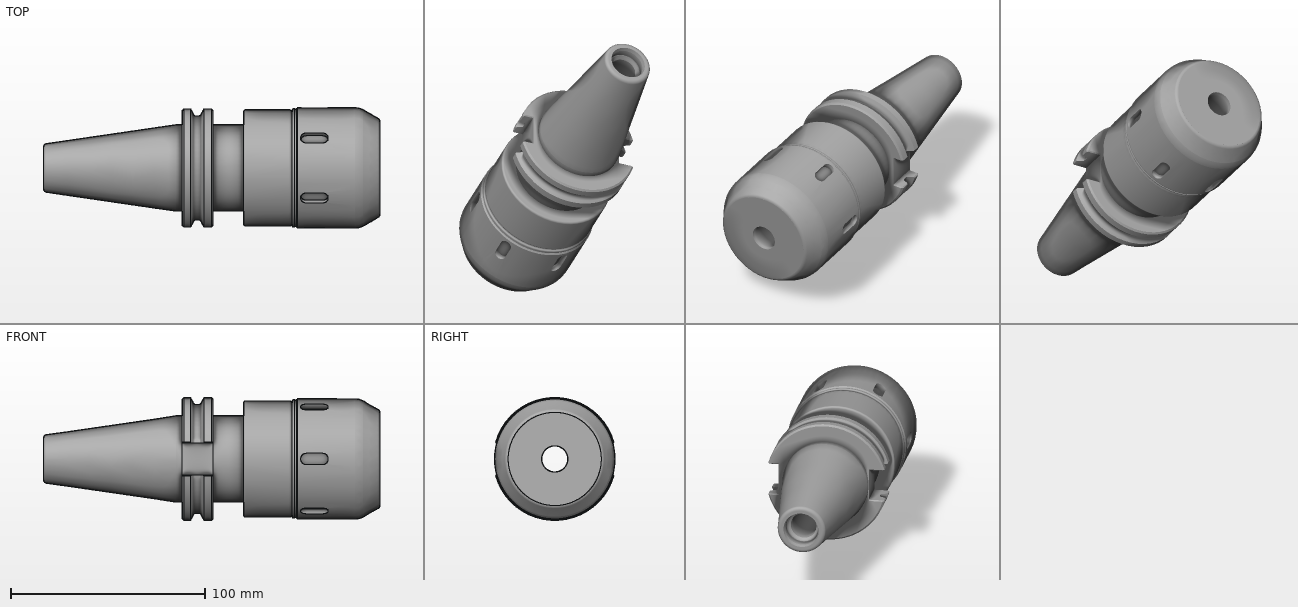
import cadquery as cq
import math

LENGTH = 173.3

GAUGE_DIA = 44.5
GAUGE_X = 68.3
TAPER_RATE = 7 / 24
TAPER_END_FILLET = 1.9

FLANGE_DIA = 63.2
FLANGE_START = 71.4
FLANGE_WIDTH = 16.0
FLANGE_END = FLANGE_START + FLANGE_WIDTH
FLANGE_CHAMFER = 0.9
GROOVE_DIA = 56.1
GROOVE_FLOOR_WIDTH = 3.1
GROOVE_MOUTH_WIDTH = 7.0
GROOVE_FILLET = 0.7
GROOVE_X = 79.2

SLOT_WIDTH = 16.3
SLOT_CHAMFER = 0.5
SLOT_FLOOR_FRONT = 22.4
SLOT_FLOOR_BACK = 24.8

COLLAR_DIA = 60.0
COLLAR_START = 103.1
COLLAR_FILLET = 1.0
COLLAR_END_FILLET = 1.5

PULL_STUD_DIA = 17.3
LEAD_IN_DIA = 18.4
LEAD_IN_LENGTH = 2.0
PULL_STUD_DEPTH = 5.7
SEAT_DIA = 16.3
BORE_DIA = 13.3
SEAT_LENGTH = (SEAT_DIA - BORE_DIA) / 2

NUT_DIA = 62.0
NUT_START = 128.0
NUT_BORE_DIA = 48.0
LIP_DIA = 61.0
LIP_WIDTH = 1.2
LIP_FILLET = 0.7
NUT_GROOVE_DIA = 60.5
NUT_GROOVE_WIDTH = 0.9
NUT_EDGE_CHAMFER = 0.7
NOSE_ANGLE = 30.0
NOSE_START = 162.7
NOSE_BLEND = 8.7
NOSE_EDGE_FILLET = 2.0

WRENCH_SLOT_COUNT = 6
WRENCH_SLOT_START = 132.4
WRENCH_SLOT_LENGTH = 14.2
WRENCH_SLOT_WIDTH = 5.9
WRENCH_SLOT_FLOOR = 28.0


def turned(points):
    """Revolve an (x, radius) outline about the X axis."""
    return cq.Workplane("XY").polyline(points).close().revolve(360, (0, 0, 0), (1, 0, 0))


def fillet_ring(body, x, radius, fillet):
    """Round the circular edge that lies at this x and radius."""
    reach = 0.09
    box = cq.selectors.BoxSelector(
        (x - reach, -radius - reach, -radius - reach),
        (x + reach, radius + reach, radius + reach),
        boundingbox=True,
    )
    outermost = cq.selectors.RadiusNthSelector(-1)
    edge = body.edges("%CIRCLE").edges(box).edges(outermost)
    return edge.fillet(fillet)


def shank_blank():
    """Taper, flange, neck, collar and the spigot that carries the nut."""
    small_radius = (GAUGE_DIA - TAPER_RATE * GAUGE_X) / 2
    neck_radius = GAUGE_DIA / 2
    flange_radius = FLANGE_DIA / 2
    collar_radius = COLLAR_DIA / 2
    spigot_radius = NUT_BORE_DIA / 2
    blank = turned([
        (0, 0),
        (0, small_radius),
        (GAUGE_X, neck_radius),
        (FLANGE_START, neck_radius),
        (FLANGE_START, flange_radius - FLANGE_CHAMFER),
        (FLANGE_START + FLANGE_CHAMFER, flange_radius),
        (FLANGE_END - FLANGE_CHAMFER, flange_radius),
        (FLANGE_END, flange_radius - FLANGE_CHAMFER),
        (FLANGE_END, neck_radius),
        (COLLAR_START, neck_radius),
        (COLLAR_START, collar_radius),
        (NUT_START, collar_radius),
        (NUT_START, spigot_radius),
        (LENGTH, spigot_radius),
        (LENGTH, 0),
    ])
    blank = fillet_ring(blank, 0, small_radius, TAPER_END_FILLET)
    blank = fillet_ring(blank, COLLAR_START, collar_radius, COLLAR_FILLET)
    return fillet_ring(blank, NUT_START, collar_radius, COLLAR_END_FILLET)


def gripper_groove():
    """V-sided ring to remove from the flange."""
    floor = GROOVE_DIA / 2
    rim = FLANGE_DIA / 2
    floor_start = GROOVE_X - GROOVE_FLOOR_WIDTH / 2
    floor_end = GROOVE_X + GROOVE_FLOOR_WIDTH / 2
    ring = turned([
        (floor_start, floor),
        (GROOVE_X - GROOVE_MOUTH_WIDTH / 2, rim),
        (GROOVE_X + GROOVE_MOUTH_WIDTH / 2, rim),
        (floor_end, floor),
    ])
    for x in (floor_start, floor_end):
        ring = fillet_ring(ring, x, floor, GROOVE_FILLET)
    return ring


def cut_drive_slot(body, floor, side):
    """Cut one drive slot and chamfer its mouth; side is -1 for -Y and +1 for +Y."""
    depth = FLANGE_DIA / 2 - floor
    middle_x = FLANGE_START + FLANGE_WIDTH / 2
    middle_y = side * (floor + depth / 2)
    block = cq.Workplane("XY").box(FLANGE_WIDTH, depth, SLOT_WIDTH).translate((middle_x, middle_y, 0))
    body = body.cut(block)
    reach = 0.09
    for wall_z in (-SLOT_WIDTH / 2, SLOT_WIDTH / 2):
        mouth = cq.selectors.BoxSelector(
            (FLANGE_START - reach, side * (floor + reach), wall_z - reach),
            (FLANGE_END + reach, side * FLANGE_DIA / 2, wall_z + reach),
        )
        body = body.edges(mouth).chamfer(SLOT_CHAMFER)
    return body


def bore():
    """Pull-stud hole, conical seat and the coolant bore right through."""
    stud = PULL_STUD_DIA / 2
    return turned([
        (0, 0),
        (0, LEAD_IN_DIA / 2),
        (LEAD_IN_LENGTH, stud),
        (PULL_STUD_DEPTH, stud),
        (PULL_STUD_DEPTH, SEAT_DIA / 2),
        (PULL_STUD_DEPTH + SEAT_LENGTH, BORE_DIA / 2),
        (LENGTH, BORE_DIA / 2),
        (LENGTH, 0),
    ])


def make_holder():
    holder = shank_blank()
    holder = cut_drive_slot(holder, SLOT_FLOOR_FRONT, -1)
    holder = cut_drive_slot(holder, SLOT_FLOOR_BACK, 1)
    return holder.cut(gripper_groove()).cut(bore())


def nut_blank():
    """Sleeve with a lip and groove at its back edge and a blended conical nose."""
    outer = NUT_DIA / 2
    lip_end = NUT_START + LIP_WIDTH
    groove_end = lip_end + NUT_GROOVE_WIDTH
    face_radius = outer - (LENGTH - NOSE_START) * math.tan(math.radians(NOSE_ANGLE))
    blank = turned([
        (NUT_START, 0),
        (NUT_START, LIP_DIA / 2),
        (lip_end, LIP_DIA / 2),
        (lip_end, NUT_GROOVE_DIA / 2),
        (groove_end, NUT_GROOVE_DIA / 2),
        (groove_end, outer - NUT_EDGE_CHAMFER),
        (groove_end + NUT_EDGE_CHAMFER, outer),
        (NOSE_START, outer),
        (LENGTH, face_radius),
        (LENGTH, 0),
    ])
    blank = fillet_ring(blank, NOSE_START, outer, NOSE_BLEND)
    blank = fillet_ring(blank, NUT_START, LIP_DIA / 2, LIP_FILLET)
    return fillet_ring(blank, LENGTH, face_radius, NOSE_EDGE_FILLET)


def wrench_slot(angle):
    """Round-ended cutter, flat on its floor, turned about the axis from the -Y side."""
    return (
        cq.Workplane("XZ", origin=(WRENCH_SLOT_START + WRENCH_SLOT_LENGTH / 2, -WRENCH_SLOT_FLOOR, 0))
        .slot2D(WRENCH_SLOT_LENGTH, WRENCH_SLOT_WIDTH)
        .extrude(NUT_DIA / 2 - WRENCH_SLOT_FLOOR)
        .rotate((0, 0, 0), (1, 0, 0), angle)
    )


def make_nut():
    spigot_hole = turned([
        (NUT_START, 0),
        (NUT_START, NUT_BORE_DIA / 2),
        (LENGTH, NUT_BORE_DIA / 2),
        (LENGTH, 0),
    ])
    nut = nut_blank().cut(spigot_hole)
    for index in range(WRENCH_SLOT_COUNT):
        nut = nut.cut(wrench_slot(index * 360 / WRENCH_SLOT_COUNT))
    return nut


holder = make_holder()
nut = make_nut()
result = cq.Compound.makeCompound([holder.val(), nut.val()])